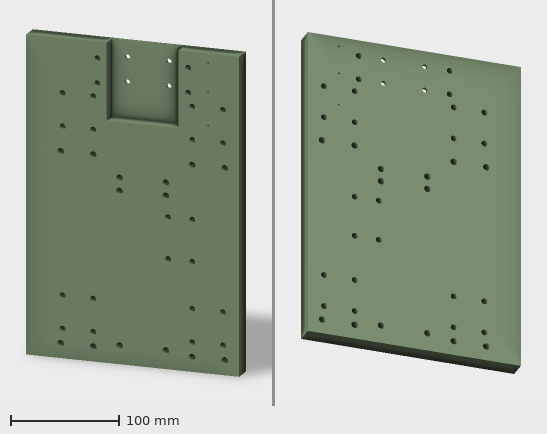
import cadquery as cq

width = 210.0
thickness = 18.0
height = 309.0

layout_x = 10.0

pocket_width = 71.0
pocket_depth_z = 75.0
pocket_floor = 3.5

pin_dia = 2.0
pocket_hole_dia = 5.0
mount_dia = 6.0
clamp_dia = 6.5

pocket_column = 20.5
pocket_side_column = 44.8
inner_column = 48.8
outer_column = 79.0
clamp_outer_column = 81.0
centre_column = 23.0

pocket_rows = (138.5, 114.3)
mount_spacing = 32.0
mount_upper_row = 101.5
mount_lower_row = -94.0
mount_rows = (
    mount_upper_row,
    mount_upper_row - mount_spacing,
    mount_lower_row,
    mount_lower_row - mount_spacing,
)
clamp_rows = (45.0, -140.3)
centre_rows = (25.3, 12.7, -136.5)

side_group_columns = (35.0, layout_x + inner_column)
side_group_rows = (-7.7, -48.2)

pin_x = 74.5
pin_rows = (145.0, 116.8, 84.7)


def mirrored(*offsets):
    """X positions on both sides of the layout line."""
    return [layout_x + side * offset for offset in offsets for side in (-1, 1)]


def drill_grid(body, diameter, columns, rows):
    """Drill through the plate at every crossing of the columns and rows."""
    points = [(x, z) for x in columns for z in rows]
    drills = (
        cq.Workplane("XZ")
        .pushPoints(points)
        .circle(diameter / 2)
        .extrude(thickness, both=True)
    )
    return body.cut(drills)


plate = cq.Workplane("XY").box(width, thickness, height)

pocket = (
    cq.Workplane("XY")
    .box(pocket_width, thickness - pocket_floor, pocket_depth_z)
    .translate((layout_x, -pocket_floor / 2, (height - pocket_depth_z) / 2))
)
plate = plate.cut(pocket)

plate = drill_grid(plate, pocket_hole_dia, mirrored(pocket_column), pocket_rows)
plate = drill_grid(plate, mount_dia, mirrored(pocket_side_column), pocket_rows)
plate = drill_grid(plate, mount_dia, mirrored(inner_column, outer_column), mount_rows)
plate = drill_grid(plate, mount_dia, side_group_columns, side_group_rows)
plate = drill_grid(plate, clamp_dia, mirrored(inner_column, clamp_outer_column), clamp_rows)
plate = drill_grid(plate, clamp_dia, mirrored(centre_column), centre_rows)
plate = drill_grid(plate, pin_dia, [pin_x], pin_rows)

result = plate